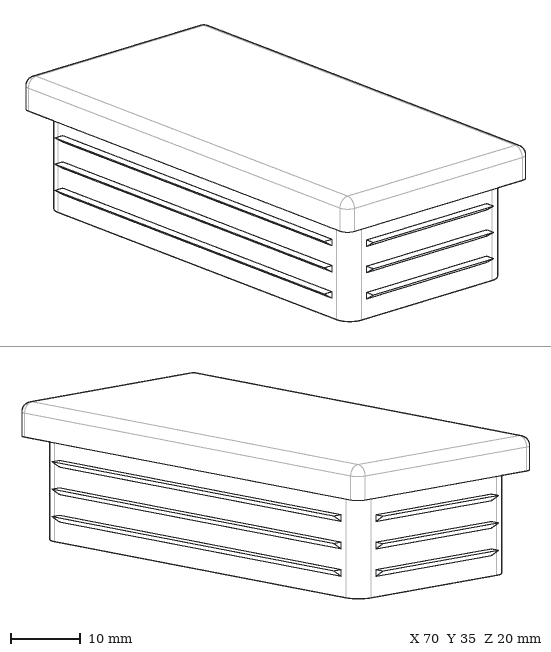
import cadquery as cq

cap_length = 70.0
cap_width = 35.0
cap_height = 5.0
cap_radius = 1.5
total_height = 20.0

cap_overhang = 2.5
plug_length = cap_length - 2 * cap_overhang
plug_width = cap_width - 2 * cap_overhang
plug_height = total_height - cap_height
plug_radius = 2.5

fin_reach = 1.5
fin_thickness = 1.0
fin_end_gap = 3.5
fin_embed = 0.35
fin_count = 3
fin_pitch = 4.0
lowest_fin_top = 4.0


def make_plug():
    plug = cq.Workplane("XY").box(plug_length, plug_width, plug_height, centered=(True, True, False))
    return plug.edges("|Z").fillet(plug_radius)


def make_cap():
    cap = cq.Workplane("XY", origin=(0, 0, plug_height)).box(
        cap_length, cap_width, cap_height, centered=(True, True, False)
    )
    return cap.edges("|Z or >Z").fillet(cap_radius)


def make_fin(wall_distance, length, top_z):
    """Fin along Y on the wall at X = wall_distance, rooted slightly inside the wall."""
    root = wall_distance - fin_embed
    bottom_z = top_z - fin_thickness
    profile = [
        (root, top_z),
        (wall_distance + fin_reach, top_z),
        (wall_distance, bottom_z),
        (root, bottom_z),
    ]
    return cq.Workplane("XZ").polyline(profile).close().extrude(length / 2, both=True)


result = make_plug().union(make_cap())

end_fin_length = plug_width - 2 * fin_end_gap
side_fin_length = plug_length - 2 * fin_end_gap
for level in range(fin_count):
    top_z = lowest_fin_top + level * fin_pitch
    end_fin = make_fin(plug_length / 2, end_fin_length, top_z)
    side_fin = make_fin(plug_width / 2, side_fin_length, top_z)
    for fin, angle in ((end_fin, 0), (side_fin, 90), (end_fin, 180), (side_fin, 270)):
        result = result.union(fin.rotate((0, 0, 0), (0, 0, 1), angle))